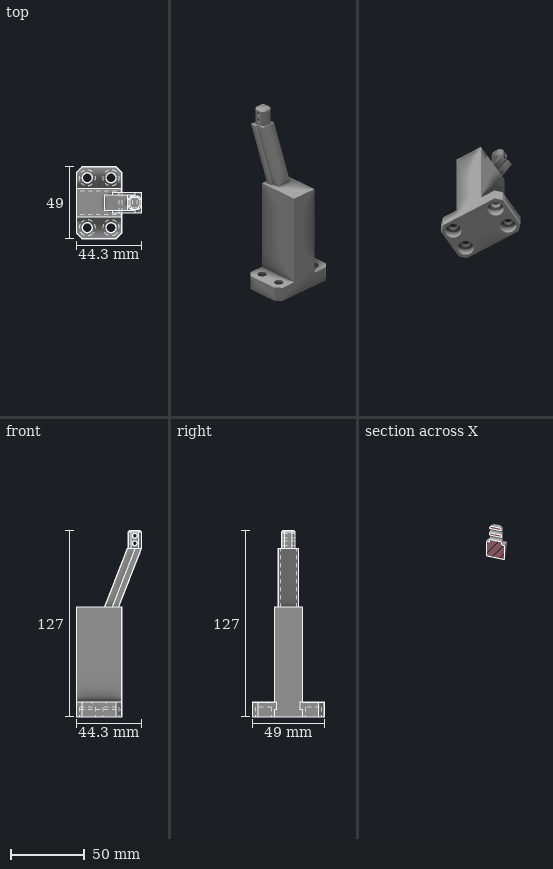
import cadquery as cq

post_length = 31.0
post_width = 19.3
post_top = 75.0

clamp_span = 49.0
clamp_height = 10.2
clamp_corner = 4.0
lip_depth = 1.7
lip_underside = 5.1
bolt_diameter = 6.6
counterbore_diameter = 10.9
counterbore_depth = 6.9
bolt_spacing_x = 16.1
bolt_spacing_y = 33.9

arm_top = 114.8
arm_length = 9.7
arm_lean = 15.5
arm_reach = 44.3
arm_narrow_width = 10.8
arm_wide_width = 14.0
arm_narrow_length = 5.3
arm_end_x = arm_reach - post_length / 2
arm_start_x = arm_end_x - arm_lean - arm_length

peg_top = 127.0
peg_size = 9.1
peg_corner = 2.0
peg_top_chamfer = 1.1
pin_hole_diameter = 3.0
pin_hole_spacing = 5.1
pin_hole_drop = 3.7
peg_x = arm_end_x - peg_size / 2


def make_leaning_bar(offset, length, width):
    """Bar of the arm starting at an X offset from the arm's -X face."""
    start = arm_start_x + offset
    return (
        cq.Workplane("XZ")
        .moveTo(start, post_top)
        .lineTo(start + length, post_top)
        .lineTo(start + length + arm_lean, arm_top)
        .lineTo(start + arm_lean, arm_top)
        .close()
        .extrude(width / 2, both=True)
    )


def make_arm():
    narrow = make_leaning_bar(0, arm_length, arm_narrow_width)
    wide = make_leaning_bar(arm_narrow_length, arm_length - arm_narrow_length, arm_wide_width)
    return narrow.union(wide)


def make_peg():
    peg = (
        cq.Workplane("XY", origin=(peg_x, 0, arm_top))
        .rect(peg_size, peg_size)
        .extrude(peg_top - arm_top)
        .edges("|Z")
        .chamfer(peg_corner)
        .faces(">Z")
        .chamfer(peg_top_chamfer)
    )
    upper_hole_z = peg_top - pin_hole_drop
    pin_holes = (
        cq.Workplane("XZ", origin=(peg_x, 0, 0))
        .pushPoints([(0, upper_hole_z), (0, upper_hole_z - pin_hole_spacing)])
        .circle(pin_hole_diameter / 2)
        .extrude(peg_size, both=True)
    )
    return peg.cut(pin_holes)


def make_post():
    column = cq.Workplane("XY").box(post_length, post_width, post_top, centered=(True, True, False))
    groove_height = clamp_height - lip_underside
    for side in (-1, 1):
        groove = cq.Workplane("XY").box(post_length, 2 * lip_depth, groove_height)
        groove_z = lip_underside + groove_height / 2
        column = column.cut(groove.translate((0, side * post_width / 2, groove_z)))
    return column.union(make_arm()).union(make_peg())


def make_clamp(side):
    """Clamp whose upper lip fills the groove in the post; side is -1 or +1 in Y."""
    inner_y = side * post_width / 2
    outer_y = side * clamp_span / 2
    lip_y = inner_y - side * lip_depth
    return (
        cq.Workplane("YZ")
        .moveTo(inner_y, 0)
        .lineTo(outer_y, 0)
        .lineTo(outer_y, clamp_height)
        .lineTo(lip_y, clamp_height)
        .lineTo(lip_y, lip_underside)
        .lineTo(inner_y, lip_underside)
        .close()
        .extrude(post_length / 2, both=True)
        .faces(">Y" if side > 0 else "<Y")
        .edges("|Z")
        .chamfer(clamp_corner)
        .cut(make_bolt_cylinders(side, bolt_diameter, clamp_height))
        .cut(make_bolt_cylinders(side, counterbore_diameter, counterbore_depth))
    )


def make_bolt_cylinders(side, diameter, height):
    """Pair of upright cylinders from Z = 0 at the bolt positions of one clamp."""
    return (
        cq.Workplane("XY", origin=(0, side * bolt_spacing_y / 2, 0))
        .pushPoints([(-bolt_spacing_x / 2, 0), (bolt_spacing_x / 2, 0)])
        .circle(diameter / 2)
        .extrude(height)
    )


post = make_post()
clamps = [make_clamp(side) for side in (-1, 1)]
result = cq.Compound.makeCompound([post.solids().val(), *[clamp.solids().val() for clamp in clamps]])